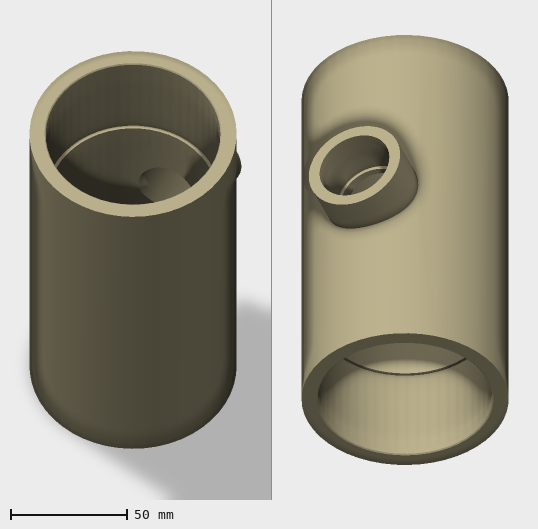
import cadquery as cq

tube_length = 166.0
tube_diameter = 89.0
bore_diameter = 72.0

socket_diameter = 75.0
socket_depth = 44.0
mouth_chamfer = 0.5

branch_diameter = 42.0
branch_bore_diameter = 29.0
branch_socket_diameter = 32.0
branch_reach = 61.1
branch_socket_depth = 22.0


def upright_cylinder(diameter, bottom, height):
    """Cylinder on the Z axis starting at the given height."""
    return cq.Workplane("XY").workplane(offset=bottom).circle(diameter / 2).extrude(height)


def branch_cylinder(diameter, start, end):
    """Cylinder along +Y between two distances from the tube axis."""
    return cq.Workplane("XZ").workplane(offset=-start).circle(diameter / 2).extrude(start - end)


body = upright_cylinder(tube_diameter, -tube_length / 2, tube_length)
body = body.union(branch_cylinder(branch_diameter, 0, branch_reach))

body = body.cut(upright_cylinder(bore_diameter, -tube_length / 2, tube_length))
for socket_bottom in (-tube_length / 2, tube_length / 2 - socket_depth):
    body = body.cut(upright_cylinder(socket_diameter, socket_bottom, socket_depth))

for mouth_face in (">Z", "<Z"):
    body = body.faces(mouth_face).edges(cq.selectors.RadiusNthSelector(0)).chamfer(mouth_chamfer)

body = body.cut(branch_cylinder(branch_bore_diameter, 0, branch_reach))
body = body.cut(branch_cylinder(branch_socket_diameter, branch_reach - branch_socket_depth, branch_reach))

result = body